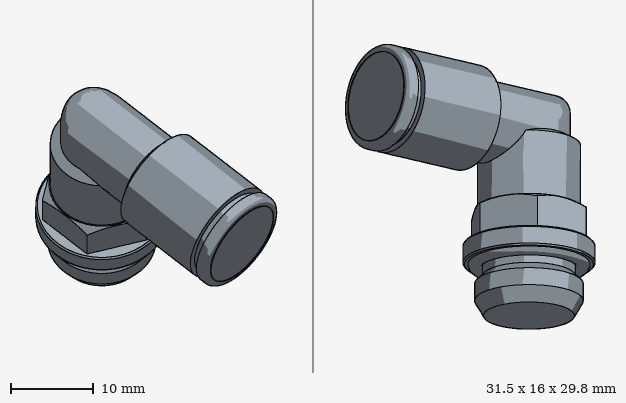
import cadquery as cq
import math


thread_radius = 13.16 / 2
root_radius = 11.2 / 2
tip_radius = 11.0 / 2
stud_length = 6.5
tip_angle = math.radians(30)
root_groove_height = 1.5
flange_radius = 16.0 / 2
flange_height = 2.5
flange_chamfer = 0.2
hex_across_flats = 13.0
hex_top_z = 7.0
hex_top_radius = 6.4
chamfer_angle = math.radians(30)

ring_section_radius = 0.9
ring_mean_radius = root_radius + ring_section_radius
ring_center_z = 0.1

outlet_axis_z = 16.8
pipe_radius = 10.0 / 2
corner_radius = 2.0
collar_radius = 12.5 / 2
collar_top_z = outlet_axis_z - 1.0
collar_chamfer_height = (collar_radius - pipe_radius) * math.tan(chamfer_angle)
socket_radius = 13.0 / 2
socket_start_x = 8.5
socket_end_x = 21.0
socket_chamfer_length = (socket_radius - pipe_radius) * math.tan(chamfer_angle)

neck_radius = 11.5 / 2
neck_length = 1.0
rim_radius = socket_radius
rim_thickness = 1.4
rim_fillet = 0.6
lip_radius = 11.0 / 2
lip_length = 0.1


def make_hexagon():
    """Hexagon with corners on the X axis and its top corners cut by a cone."""
    corner_reach = hex_across_flats / math.sqrt(3)
    cone_drop = (corner_reach - hex_top_radius) * math.tan(chamfer_angle)
    prism = (
        cq.Workplane("XY")
        .workplane(offset=flange_height)
        .polygon(6, 2 * corner_reach)
        .extrude(hex_top_z - flange_height)
    )
    envelope = (
        cq.Workplane("XZ")
        .moveTo(0, flange_height)
        .lineTo(corner_reach, flange_height)
        .lineTo(corner_reach, hex_top_z - cone_drop)
        .lineTo(hex_top_radius, hex_top_z)
        .lineTo(0, hex_top_z)
        .close()
        .revolve(360, (0, 0), (0, 1))
    )
    return prism.intersect(envelope)


def make_stud():
    """Thread, root groove, flange with an O-ring recess, and hexagon."""
    tip_z = -stud_length
    tip_chamfer_height = (thread_radius - tip_radius) / math.tan(tip_angle)
    groove_floor_z = -root_groove_height
    thread_top_z = groove_floor_z - (thread_radius - root_radius)
    recess_radius = ring_mean_radius + ring_section_radius
    recess_top_z = ring_center_z + ring_section_radius
    turned = (
        cq.Workplane("XZ")
        .moveTo(0, tip_z)
        .lineTo(tip_radius, tip_z)
        .lineTo(thread_radius, tip_z + tip_chamfer_height)
        .lineTo(thread_radius, thread_top_z)
        .lineTo(root_radius, groove_floor_z)
        .lineTo(root_radius, recess_top_z)
        .lineTo(recess_radius, recess_top_z)
        .lineTo(recess_radius, 0)
        .lineTo(flange_radius - flange_chamfer, 0)
        .lineTo(flange_radius, flange_chamfer)
        .lineTo(flange_radius, flange_height - flange_chamfer)
        .lineTo(flange_radius - flange_chamfer, flange_height)
        .lineTo(0, flange_height)
        .close()
        .revolve(360, (0, 0), (0, 1))
    )
    return turned.union(make_hexagon())


def make_seal_ring():
    """O-ring with a round section."""
    return (
        cq.Workplane("XZ")
        .center(ring_mean_radius, ring_center_z)
        .circle(ring_section_radius)
        .revolve(360, (-ring_mean_radius, 0), (-ring_mean_radius, 1))
    )


def make_outer_corner():
    """Outer corner of the bend: the part common to both pipes, with its mitre edge rounded."""
    upright = (
        cq.Workplane("XY")
        .workplane(offset=outlet_axis_z)
        .circle(pipe_radius)
        .extrude(pipe_radius)
    )
    outlet = (
        cq.Workplane("YZ")
        .center(0, outlet_axis_z)
        .circle(pipe_radius)
        .extrude(-pipe_radius)
    )
    corner_tip = (-pipe_radius, 0, outlet_axis_z + pipe_radius)
    mitre_edge = cq.selectors.NearestToPointSelector(corner_tip)
    return upright.intersect(outlet).edges(mitre_edge).fillet(corner_radius)


def make_pipe_bend():
    """Upright and outlet pipes, each ending at the other's axis, joined by the rounded corner."""
    upright = (
        cq.Workplane("XY")
        .workplane(offset=hex_top_z)
        .circle(pipe_radius)
        .extrude(outlet_axis_z - hex_top_z)
    )
    outlet = (
        cq.Workplane("YZ")
        .center(0, outlet_axis_z)
        .circle(pipe_radius)
        .extrude(socket_start_x)
    )
    return upright.union(outlet).union(make_outer_corner())


def make_collar():
    """Collar around the foot of the bend, standing on the hexagon."""
    return (
        cq.Workplane("XZ")
        .moveTo(0, hex_top_z)
        .lineTo(collar_radius, hex_top_z)
        .lineTo(collar_radius, collar_top_z - collar_chamfer_height)
        .lineTo(pipe_radius, collar_top_z)
        .lineTo(0, collar_top_z)
        .close()
        .revolve(360, (0, 0), (0, 1))
    )


def make_socket():
    """Wide outlet end, tapered toward the bend."""
    return (
        cq.Workplane("XZ")
        .center(0, outlet_axis_z)
        .moveTo(socket_start_x, 0)
        .lineTo(socket_start_x, pipe_radius)
        .lineTo(socket_start_x + socket_chamfer_length, socket_radius)
        .lineTo(socket_end_x, socket_radius)
        .lineTo(socket_end_x, 0)
        .close()
        .revolve(360, (0, 0), (1, 0))
    )


def make_elbow():
    return make_pipe_bend().union(make_collar()).union(make_socket())


def make_release_ring():
    """Neck, rounded rim and thin lip closing the outlet end."""
    neck = (
        cq.Workplane("YZ")
        .workplane(offset=socket_end_x)
        .center(0, outlet_axis_z)
        .circle(neck_radius)
        .extrude(neck_length)
    )
    rim = (
        neck.faces(">X")
        .workplane()
        .circle(rim_radius)
        .extrude(rim_thickness, combine=False)
        .faces(">X")
        .edges()
        .fillet(rim_fillet)
    )
    lip = rim.faces(">X").workplane().circle(lip_radius).extrude(lip_length, combine=False)
    return neck.union(rim).union(lip)


stud = make_stud()
seal_ring = make_seal_ring()
elbow = make_elbow()
release_ring = make_release_ring()

result = cq.Compound.makeCompound([
    stud.val(),
    seal_ring.val(),
    elbow.val(),
    release_ring.val(),
])